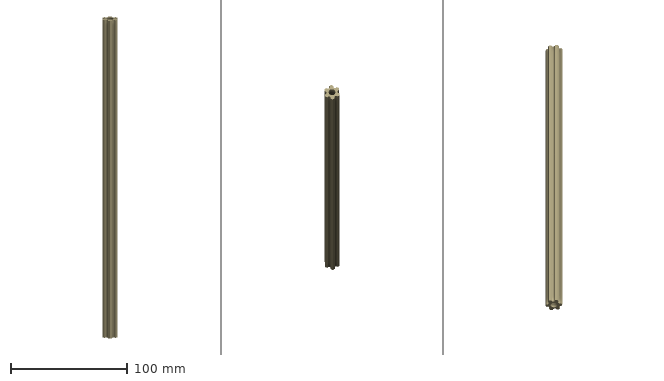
import cadquery as cq
import math

LENGTH = 285.75
ACROSS_FLATS = 12.7
BORE_DIAMETER = 5.9
GROOVE_DIAMETER = 3.175
FLAT_COUNT = 6

APOTHEM = ACROSS_FLATS / 2
ACROSS_CORNERS = ACROSS_FLATS / math.cos(math.pi / FLAT_COUNT)
FIRST_FLAT_ANGLE = 180 / FLAT_COUNT


def hexagonal_bar():
    """Bar along Z, with two corners on the X axis and two flats facing +Y and -Y."""
    return cq.Workplane("XY").polygon(FLAT_COUNT, ACROSS_CORNERS).extrude(LENGTH)


def flat_grooves():
    """Full-length round cutters, each centred on the middle of a flat."""
    return (
        cq.Workplane("XY")
        .polarArray(APOTHEM, FIRST_FLAT_ANGLE, 360, FLAT_COUNT)
        .circle(GROOVE_DIAMETER / 2)
        .extrude(LENGTH)
    )


def central_bore():
    return cq.Workplane("XY").circle(BORE_DIAMETER / 2).extrude(LENGTH)


result = hexagonal_bar().cut(flat_grooves()).cut(central_bore())